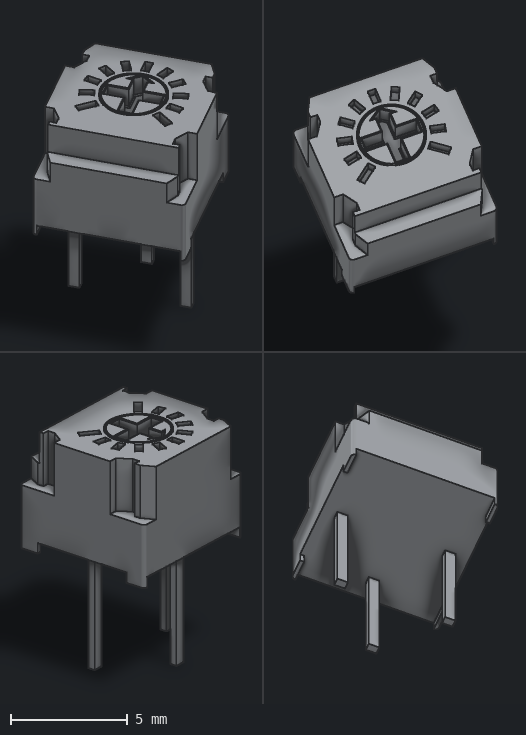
import cadquery as cq

width = 6.8
half = width / 2
body_height = 5.0
corner_radius = 0.19

notch_depth = 2.5
notch_side_inset = 0.41
notch_end_inset = 0.8
notch_hook_inset = 0.48
notch_hook_start = 0.62
notch_hook_end = 0.92
notch_ramp_start = 1.28
notch_length = 1.88

step_width = 0.7
step_depth = 1.47

foot_length = 0.99
foot_height = 0.49
foot_thickness = corner_radius

pin_width = 0.49
pin_thickness = 0.34
overall_height = 10.5
pin_length = overall_height - body_height
pin_pitch = 2.5

dial_y = 0.41
dial_radius = 1.49
rotor_radius = 1.45
rotor_bevel = 0.05
ring_depth = 0.06

arm_half_width = 0.35
arm_reach = 1.3
tail_reach = 1.33
arrow_half_width = 0.62
arrow_base = 0.98
arrow_tip = 1.42
cross_bevel = 0.04
cross_depth = 1.0
floor_bevel = 0.06

mark_width = 0.36
mark_depth = 0.5
mark_inner = 1.69
mark_outer = 2.34
end_mark_outer = 2.62
marks_per_turn = 14
mark_step = 360 / marks_per_turn
marks_per_side = 5


def round_corners(block):
    return block.edges("|Z").fillet(corner_radius)


def make_body():
    block = cq.Workplane("XY").box(width, width, body_height, centered=(True, True, False))
    return round_corners(block)


def make_foot_plates():
    """Thin plates under the four corners, rounded to match the block."""
    pads = (
        cq.Workplane("XY")
        .rarray(width - foot_thickness, width - foot_length, 2, 2)
        .rect(foot_thickness, foot_length)
        .extrude(-foot_height)
    )
    plan = cq.Workplane("XY").rect(width, width).extrude(-foot_height)
    return pads.intersect(round_corners(plan))


def make_corner_notches():
    """The hooked notch of the (-X, -Y) corner, mirrored into all four corners."""
    inset_points = [
        (0, 0),
        (notch_end_inset, 0),
        (notch_hook_inset, notch_hook_start),
        (notch_hook_inset, notch_hook_end),
        (notch_end_inset, notch_hook_end),
        (notch_end_inset, notch_ramp_start),
        (notch_side_inset, notch_length),
        (0, notch_length),
    ]
    outline = [(x - half, y - half) for x, y in inset_points]
    notch = cq.Workplane("XY", origin=(0, 0, body_height)).polyline(outline).close().extrude(-notch_depth)
    pair = notch.union(notch.mirror("YZ"))
    return pair.union(pair.mirror("XZ"))


def make_front_step():
    edge_plane = cq.Workplane("XY", origin=(0, -half, body_height - step_depth))
    return edge_plane.box(width, step_width, step_depth, centered=(True, False, False))


def make_pins():
    """One pin on each side of the middle and one behind it."""
    places = [(-pin_pitch, 0), (pin_pitch, 0), (0, pin_pitch)]
    return cq.Workplane("XY").pushPoints(places).rect(pin_width, pin_thickness).extrude(-pin_length)


def dial_plane(depth=0):
    """Plane centred on the rotor, the given depth below the top face."""
    return cq.Workplane("XY", origin=(0, dial_y, body_height - depth))


def make_rotor_ring():
    """Narrow flat-bottomed groove around the rotor, whose top edge is bevelled down to the groove."""
    rotor = dial_plane(ring_depth).circle(rotor_radius).extrude(ring_depth)
    rotor = rotor.faces(">Z").edges().chamfer(rotor_bevel)
    return dial_plane().circle(dial_radius).extrude(-ring_depth).cut(rotor)


def cross_outline():
    """Plus shape whose +Y arm ends in an arrowhead."""
    right_side = [
        (arm_half_width, -tail_reach),
        (arm_half_width, -arm_half_width),
        (arm_reach, -arm_half_width),
        (arm_reach, arm_half_width),
        (arm_half_width, arm_half_width),
        (arm_half_width, arrow_base),
        (arrow_half_width, arrow_base),
    ]
    left_side = [(-x, y) for x, y in reversed(right_side)]
    return dial_plane().polyline(right_side + [(0, arrow_tip)] + left_side).close()


def make_cross_pocket():
    """Upright pocket with a bevel around its rim and another around its floor."""
    rim = cross_outline().extrude(-cross_bevel, taper=45)
    pocket = cross_outline().offset2D(-cross_bevel, "intersection").extrude(-cross_depth)
    pocket = pocket.faces("<Z").edges().chamfer(floor_bevel)
    return pocket.union(rim)


def make_mark(angle, outer):
    """Radial slot, turned about the rotor axis from the arrow direction."""
    middle = (mark_inner + outer) / 2
    slot = dial_plane().center(0, middle).rect(mark_width, outer - mark_inner).extrude(-mark_depth)
    return slot.rotate((0, dial_y, 0), (0, dial_y, 1), angle)


result = make_body().cut(make_corner_notches()).cut(make_front_step())
result = result.union(make_foot_plates()).union(make_pins())
result = result.cut(make_rotor_ring()).cut(make_cross_pocket())

for place in range(-marks_per_side, marks_per_side + 1):
    mark_reach = end_mark_outer if abs(place) == marks_per_side else mark_outer
    result = result.cut(make_mark(place * mark_step, mark_reach))